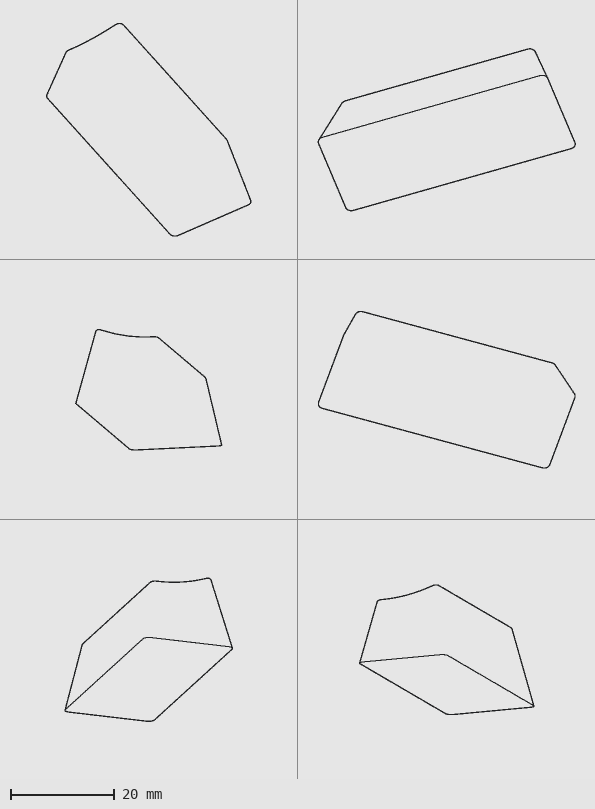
import cadquery as cq

length = 46.9
width = 18.3

end_lean = 0.245
back_lean = 0.21
front_lean = 0.19

dish_radius = 28.15
dish_axis_y = -5.45
dish_low_z = 13.0

corner_radius = 1.2
rim_radius = 0.6

blank_height = 18.75


def tapered_slab(plane, base, lean_low, lean_high, depth):
    """Trapezoid standing on its base, extruded equally to both sides of the plane."""
    half_base = base / 2
    return (
        cq.Workplane(plane)
        .moveTo(-half_base, 0)
        .lineTo(half_base, 0)
        .lineTo(half_base - lean_high * blank_height, blank_height)
        .lineTo(-half_base + lean_low * blank_height, blank_height)
        .close()
        .extrude(depth / 2, both=True)
    )


def tapered_blank():
    """Solid with four flat walls leaning inward, its four slanting corners rounded."""
    end_walls = tapered_slab("XZ", length, end_lean, end_lean, width)
    long_walls = tapered_slab("YZ", width, front_lean, back_lean, length)
    slanting_corners = "not(|X or |Y)"
    return end_walls.intersect(long_walls).edges(slanting_corners).fillet(corner_radius)


def dish_cutter():
    """Cylinder along X that hollows the top from front to back."""
    return (
        cq.Workplane("YZ")
        .center(dish_axis_y, dish_low_z + dish_radius)
        .circle(dish_radius)
        .extrude(length / 2, both=True)
    )


dished_blank = tapered_blank().cut(dish_cutter())
dish_face = dished_blank.faces("%CYLINDER").faces(">Z")
result = dish_face.edges().fillet(rim_radius)